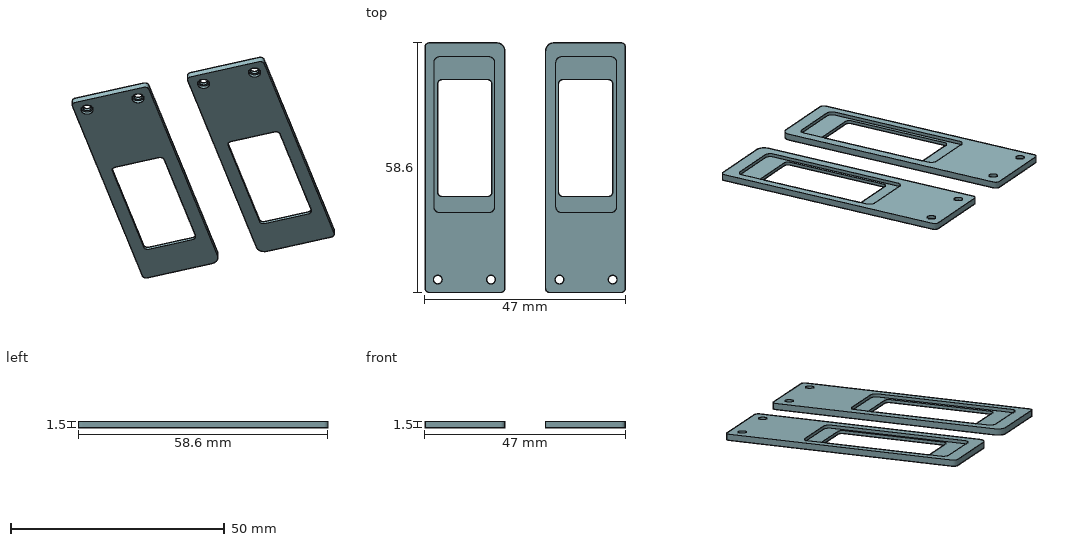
import cadquery as cq

total_width = 47.0
plate_width = 18.75
plate_length = 58.6
plate_thickness = 1.5
plate_center_x = (total_width - plate_width) / 2

corner_radius = 1.0
inner_top_radius = 2.0

recess_width = 14.3
recess_side_margin = 2.05
recess_top_margin = 3.3
recess_bottom_margin = 18.75
recess_depth = 0.75
recess_radius = 1.4

window_width = 12.65
window_side_margin = 3.0
window_top_margin = 8.7
window_bottom_margin = 22.55
window_radius = 1.0

hole_diameter = 2.0
counterbore_diameter = 2.8
counterbore_depth = 0.75
hole_spacing = 12.5
hole_side_margin = 3.0
hole_bottom_margin = 3.05


def rounded_pocket(width, side_margin, top_margin, bottom_margin, radius, floor_z):
    """Rounded cutter from floor_z up to the top face of the plate."""
    length = plate_length - top_margin - bottom_margin
    return (
        cq.Workplane("XY")
        .box(width, length, plate_thickness - floor_z, centered=False)
        .edges("|Z")
        .fillet(radius)
        .translate((side_margin - plate_width / 2, bottom_margin - plate_length / 2, floor_z))
    )


def counterbored_hole():
    """Through-hole cutter on the Z axis, with a counterbore in the bottom face."""
    bore = cq.Workplane("XY").circle(hole_diameter / 2).extrude(plate_thickness)
    counterbore = cq.Workplane("XY").circle(counterbore_diameter / 2).extrude(counterbore_depth)
    return bore.union(counterbore)


def make_left_plate():
    """Frame plate centred on the origin, with its outer side towards -X."""
    plate = cq.Workplane("XY").box(plate_width, plate_length, plate_thickness, centered=(True, True, False))
    plate = plate.edges("(|Z and <X) or (|Z and <Y)").fillet(corner_radius)
    plate = plate.edges("|Z").edges(">X and >Y").fillet(inner_top_radius)

    recess = rounded_pocket(
        recess_width, recess_side_margin, recess_top_margin, recess_bottom_margin,
        recess_radius, plate_thickness - recess_depth,
    )
    window = rounded_pocket(
        window_width, window_side_margin, window_top_margin, window_bottom_margin, window_radius, 0,
    )

    first_hole_x = hole_side_margin - plate_width / 2
    hole_y = hole_bottom_margin - plate_length / 2
    plate = plate.cut(recess).cut(window)
    for hole_x in (first_hole_x, first_hole_x + hole_spacing):
        plate = plate.cut(counterbored_hole().translate((hole_x, hole_y, 0)))
    return plate


plates = []
for side in (-1, 1):
    plate = make_left_plate()
    if side > 0:
        plate = plate.mirror("YZ")
    plates.append(plate.translate((side * plate_center_x, 0, 0)))

result = cq.Compound.makeCompound([plate.val() for plate in plates])